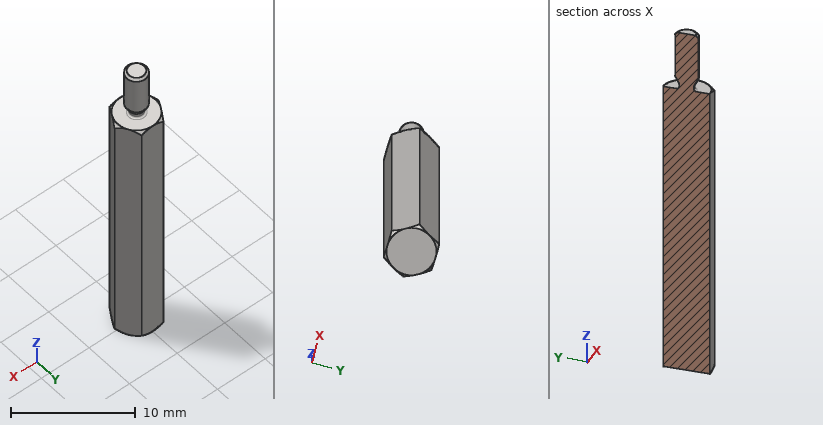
import cadquery as cq
import math

total_length = 30.0
hex_length = 25.0
across_flats = 4.0
across_corners = across_flats / math.cos(math.radians(30))

stud_diameter = 2.0
tip_diameter = 1.55
neck_diameter = 1.3
shoulder_height = 1.08
neck_height = 0.45
neck_fillet = 0.18

stud_radius = stud_diameter / 2
tip_radius = tip_diameter / 2
neck_radius = neck_diameter / 2
tip_chamfer = stud_radius - tip_radius


def make_hex_body():
    """Hexagonal bar with a 45 degree turned chamfer on both ends."""
    bar = cq.Workplane("XY").polygon(6, across_corners).extrude(hex_length)
    corner_chamfer = (across_corners - across_flats) / 2
    turned_envelope = (
        cq.Workplane("XY")
        .circle(across_corners / 2)
        .extrude(hex_length)
        .faces("<Z or >Z")
        .chamfer(corner_chamfer)
    )
    return bar.intersect(turned_envelope)


def make_stud():
    """Turned stud with a filleted neck, a conical shoulder and a chamfered tip."""
    fillet_center_radius = neck_radius + neck_fillet
    fillet_center_z = hex_length + neck_fillet
    fillet_offset = neck_fillet * math.sin(math.radians(45))
    fillet_middle = (fillet_center_radius - fillet_offset, fillet_center_z - fillet_offset)
    return (
        cq.Workplane("XZ")
        .moveTo(0, hex_length)
        .lineTo(fillet_center_radius, hex_length)
        .threePointArc(fillet_middle, (neck_radius, fillet_center_z))
        .lineTo(neck_radius, hex_length + neck_height)
        .lineTo(stud_radius, hex_length + shoulder_height)
        .lineTo(stud_radius, total_length - tip_chamfer)
        .lineTo(tip_radius, total_length)
        .lineTo(0, total_length)
        .close()
        .revolve(360, (0, 0, 0), (0, 1, 0))
    )


result = make_hex_body().union(make_stud())